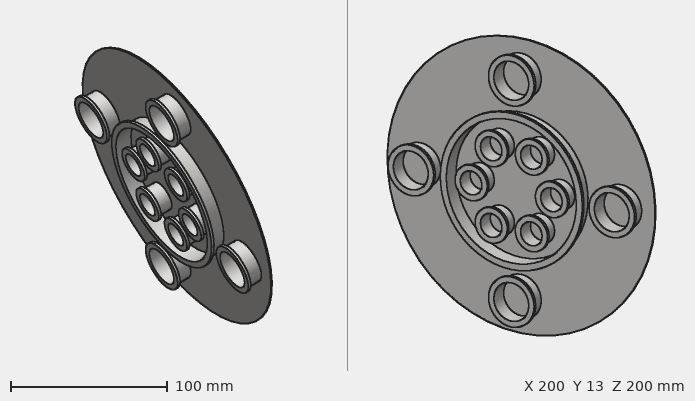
import cadquery as cq
import math

plate_diameter = 200.0
plate_thickness = 1.0

collar_height = 12.0
flange_thickness = 2.0

ring_bore = 97.0
ring_tube = 100.0
ring_flange = 106.0

outer_port_count = 4
outer_port_circle_radius = 75.0
outer_port_bore = 26.0
outer_port_tube = 30.0
outer_port_flange = 34.0

inner_port_count = 6
inner_port_circle_radius = 30.0
inner_port_bore = 16.0
inner_port_tube = 20.0
inner_port_flange = 24.0


def disc(diameter, y_rear, length, x=0.0, z=0.0):
    """Cylinder along Y, running from y_rear toward -Y."""
    start = cq.Vector(x, y_rear, z)
    return cq.Workplane(cq.Solid.makeCylinder(diameter / 2, length, start, cq.Vector(0, -1, 0)))


def collar(bore, tube, flange, x=0.0, z=0.0):
    """Open tube on the front face of the plate; the plate closes its rear end."""
    plate_front = -plate_thickness
    flange_rear = plate_front - (collar_height - flange_thickness)
    wall = disc(tube, plate_front, collar_height, x, z)
    rim = disc(flange, flange_rear, flange_thickness, x, z)
    opening = disc(bore, plate_front, collar_height, x, z)
    return wall.union(rim).cut(opening)


def circle_points(count, radius):
    """Evenly spaced (x, z) centres, the first one on the +X axis."""
    angles = [2 * math.pi * i / count for i in range(count)]
    return [(radius * math.cos(a), radius * math.sin(a)) for a in angles]


result = disc(plate_diameter, 0.0, plate_thickness)
result = result.union(collar(ring_bore, ring_tube, ring_flange))

for x, z in circle_points(outer_port_count, outer_port_circle_radius):
    result = result.union(collar(outer_port_bore, outer_port_tube, outer_port_flange, x, z))

for x, z in circle_points(inner_port_count, inner_port_circle_radius):
    result = result.union(collar(inner_port_bore, inner_port_tube, inner_port_flange, x, z))